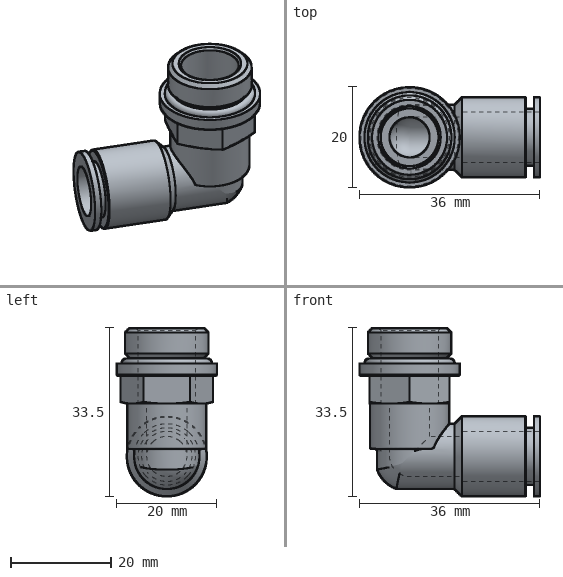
import cadquery as cq
import math


stud_top = 25.52
stud_lead_in = 0.85
thread_bottom = 20.5
flange_top = 18.5
flange_bottom = 16.0
hex_bottom = 10.48
sleeve_bottom = 1.48
elbow_top = 1.08

thread_radius = 16.65 / 2
groove_radius = 14.95 / 2
seal_radius = 9.0
seal_section_radius = 1.0
flange_radius = 20.0 / 2
flange_chamfer = 0.3
sleeve_radius = 15.8 / 2
sleeve_rounding = 0.35
hex_across_flats = 16.0
hex_corner_chamfer_angle = 15

elbow_radius = 13.0 / 2
knuckle_offset = 0.4
socket_radius = 16.0 / 2
socket_cone_end = 10.4
socket_end = 23.2
socket_edge = 0.18
release_neck_radius = 11.4 / 2
collar_start = 24.75
collar_end = 36 - flange_radius
collar_edge = 0.25
collar_edge_inset = 0.07

passage_radius = 8.0 / 2
stud_bore_radius = 11.5 / 2
stud_bore_chamfer = 0.45
stud_bore_floor = hex_bottom
tube_radius = 10.0 / 2
tube_stop = socket_cone_end


def cylinder_z(radius, start, end):
    return cq.Workplane("XY").workplane(offset=start).circle(radius).extrude(end - start)


def cylinder_x(radius, start, end):
    return cq.Workplane("YZ").workplane(offset=start).circle(radius).extrude(end - start)


def make_stud():
    """Thread, groove, rounded seal, flange and sleeve, filleted into the elbow."""
    groove_taper_end = thread_bottom - (thread_radius - groove_radius)
    fillet = sleeve_bottom - elbow_top
    diagonal = math.sqrt(0.5)
    seal_center = seal_radius - seal_section_radius
    seal_inner_height = math.sqrt(seal_section_radius**2 - (seal_center - groove_radius) ** 2)
    profile = (
        cq.Workplane("XZ")
        .moveTo(0, elbow_top)
        .lineTo(elbow_radius, elbow_top)
        .threePointArc(
            (elbow_radius + fillet * (1 - diagonal), elbow_top + fillet * diagonal),
            (elbow_radius + fillet, sleeve_bottom),
        )
        .lineTo(sleeve_radius - sleeve_rounding, sleeve_bottom)
        .threePointArc(
            (
                sleeve_radius - sleeve_rounding * (1 - diagonal),
                sleeve_bottom + sleeve_rounding * (1 - diagonal),
            ),
            (sleeve_radius, sleeve_bottom + sleeve_rounding),
        )
        .lineTo(sleeve_radius, flange_bottom)
        .lineTo(flange_radius - flange_chamfer, flange_bottom)
        .lineTo(flange_radius, flange_bottom + flange_chamfer)
        .lineTo(flange_radius, flange_top)
        .lineTo(seal_radius, flange_top)
        .threePointArc(
            (seal_center, flange_top + seal_section_radius),
            (groove_radius, flange_top + seal_inner_height),
        )
        .lineTo(groove_radius, groove_taper_end)
        .lineTo(thread_radius, thread_bottom)
        .lineTo(thread_radius, stud_top - stud_lead_in)
        .lineTo(thread_radius - stud_lead_in, stud_top)
        .lineTo(0, stud_top)
        .close()
    )
    return profile.revolve(360, (0, 0, 0), (0, 1, 0))


def make_hex():
    """Hexagon with corners on the Y axis, its lower corners turned off by a cone."""
    corner_radius = hex_across_flats / math.sqrt(3)
    height = flange_bottom - hex_bottom
    prism = (
        cq.Workplane("XY")
        .workplane(offset=hex_bottom)
        .polygon(6, 2 * corner_radius)
        .extrude(height)
        .rotate((0, 0, 0), (0, 0, 1), 90)
    )
    corner_rise = (corner_radius - sleeve_radius) * math.tan(math.radians(hex_corner_chamfer_angle))
    envelope = (
        cq.Workplane("XZ")
        .moveTo(0, hex_bottom)
        .lineTo(sleeve_radius, hex_bottom)
        .lineTo(corner_radius, hex_bottom + corner_rise)
        .lineTo(corner_radius, flange_bottom)
        .lineTo(0, flange_bottom)
        .close()
        .revolve(360, (0, 0, 0), (0, 1, 0))
    )
    return prism.intersect(envelope)


def make_elbow():
    """Two mitred cylinders whose outer corner is rounded by a sphere."""
    upright = cylinder_z(elbow_radius, 0, elbow_top)
    branch = cylinder_x(elbow_radius, 0, socket_cone_end)
    corner = cylinder_z(elbow_radius, -elbow_radius, 0).intersect(
        cylinder_x(elbow_radius, -elbow_radius, 0)
    )
    knuckle = cq.Workplane("XY").sphere(elbow_radius).translate((-knuckle_offset, 0, -knuckle_offset))
    outer_corner = (
        cq.Workplane("XY")
        .box(elbow_radius, 2 * elbow_radius, elbow_radius, centered=(False, True, False))
        .translate((-elbow_radius - knuckle_offset, 0, -elbow_radius - knuckle_offset))
    )
    corner = corner.cut(outer_corner.cut(knuckle))
    return corner.union(upright).union(branch)


def make_socket():
    """Tube socket with its entry cone, release neck and release collar."""
    cone_start = socket_cone_end - (socket_radius - elbow_radius)
    outline = [
        (cone_start, 0),
        (cone_start, elbow_radius),
        (socket_cone_end, socket_radius),
        (socket_end - socket_edge, socket_radius),
        (socket_end, socket_radius - socket_edge),
        (socket_end, release_neck_radius),
        (collar_start, release_neck_radius),
        (collar_start, socket_radius),
        (collar_end - collar_edge, socket_radius),
        (collar_end, socket_radius - collar_edge_inset),
        (collar_end, 0),
    ]
    return cq.Workplane("XZ").polyline(outline).close().revolve(360, (0, 0, 0), (1, 0, 0))


def make_bores():
    """Passage turning through a spherical corner, stud bore and tube bore."""
    passage = (
        cq.Workplane("XY")
        .sphere(passage_radius)
        .union(cylinder_z(passage_radius, 0, stud_bore_floor))
        .union(cylinder_x(passage_radius, 0, tube_stop))
    )
    stud_bore = (
        cylinder_z(stud_bore_radius, stud_bore_floor, stud_top)
        .faces(">Z")
        .workplane()
        .circle(stud_bore_radius + stud_bore_chamfer)
        .workplane(offset=-stud_bore_chamfer)
        .circle(stud_bore_radius)
        .loft(combine=True)
    )
    return passage.union(stud_bore).union(cylinder_x(tube_radius, tube_stop, collar_end))


body = make_elbow().union(make_stud()).union(make_hex()).union(make_socket())
result = body.cut(make_bores())